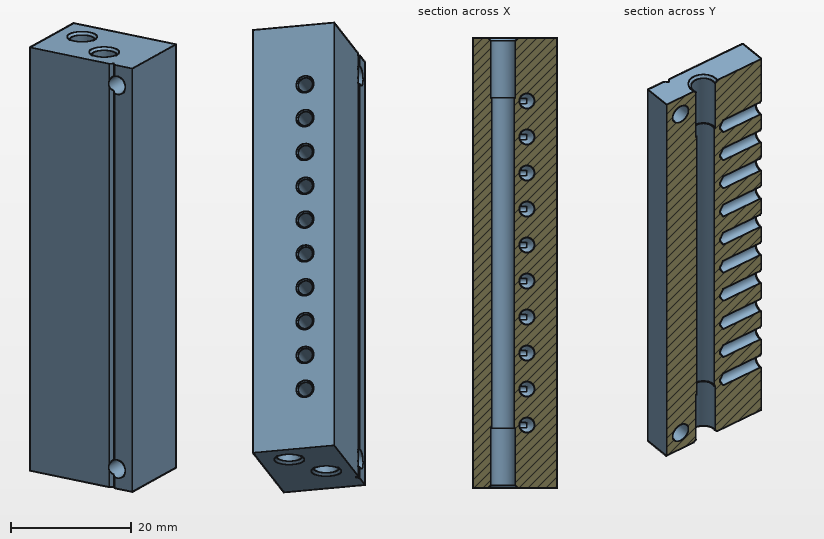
import cadquery as cq
import math

width = 20.0
depth = 14.0
height = 75

rear_channel = (4.7, 9.0)
front_channel = (11.8, 4.5)
channel_diameter = 3.8
channel_mouth_diameter = 5.0
thread_diameter = 4.1
thread_depth = 10.0

mount_diameter = 3.2
mount_from_side = 3.0
mount_from_end = 3.5

groove_from_side = 4.0
groove_depth = 0.5

port_count = 10
port_pitch = 6.0
port_y = 5.0
port_diameter = 2.5
port_mouth_diameter = 3.0
port_depth = 8.0
tip_angle = 118

passage_diameter = 1.0
passage_x = (rear_channel[0] + front_channel[0]) / 2

UP = cq.Vector(0, 0, 1)
DOWN = cq.Vector(0, 0, -1)
TO_RIGHT = cq.Vector(1, 0, 0)
TO_REAR = cq.Vector(0, 1, 0)
TO_FRONT = cq.Vector(0, -1, 0)


def bore(start, direction, diameter, length):
    return cq.Solid.makeCylinder(diameter / 2, length, cq.Vector(*start), direction)


def taper(start, direction, start_diameter, end_diameter, length):
    return cq.Solid.makeCone(start_diameter / 2, end_diameter / 2, length, cq.Vector(*start), direction)


def channel_cutters(x, y):
    """Through bore, opened to thread core size and countersunk at each end."""
    mouth_depth = (channel_mouth_diameter - thread_diameter) / 2
    cutters = [bore((x, y, 0), UP, channel_diameter, height)]
    for z, inward in ((0, UP), (height, DOWN)):
        cutters.append(bore((x, y, z), inward, thread_diameter, thread_depth))
        cutters.append(taper((x, y, z), inward, channel_mouth_diameter, thread_diameter, mouth_depth))
    return cutters


def port_cutters(z):
    """Countersunk blind hole with a drill tip, met by a passage from the rear."""
    mouth_depth = (port_mouth_diameter - port_diameter) / 2
    tip_length = port_diameter / 2 / math.tan(math.radians(tip_angle / 2))
    return [
        taper((0, port_y, z), TO_RIGHT, port_mouth_diameter, port_diameter, mouth_depth),
        bore((0, port_y, z), TO_RIGHT, port_diameter, port_depth),
        taper((port_depth, port_y, z), TO_RIGHT, port_diameter, 0, tip_length),
        bore((passage_x, depth, z), TO_FRONT, passage_diameter, depth - port_y),
    ]


def groove_cutter():
    bottom_x = width - groove_from_side
    outline = [
        (bottom_x - groove_depth, 0),
        (bottom_x, groove_depth),
        (bottom_x + groove_depth, 0),
    ]
    return cq.Workplane("XY").polyline(outline).close().extrude(height).val()


cutters = [groove_cutter()]

for channel_x, channel_y in (rear_channel, front_channel):
    cutters += channel_cutters(channel_x, channel_y)

for mount_z in (mount_from_end, height - mount_from_end):
    cutters.append(bore((width - mount_from_side, 0, mount_z), TO_REAR, mount_diameter, depth))

first_port_z = (height - (port_count - 1) * port_pitch) / 2
for index in range(port_count):
    cutters += port_cutters(first_port_z + index * port_pitch)

result = cq.Workplane("XY").box(width, depth, height, centered=False)
for cutter in cutters:
    result = result.cut(cq.Workplane(cutter))